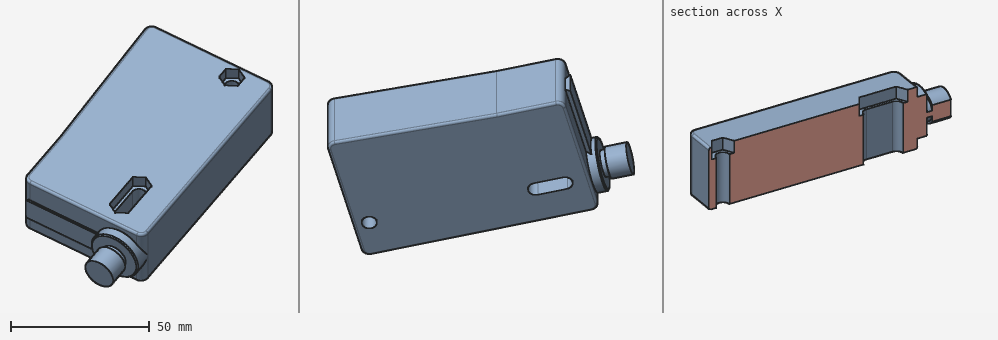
import cadquery as cq
import math

HOUSING_LENGTH = 88.0
HOUSING_HEIGHT = 25.8
FRONT_WIDTH = 51.8
BACK_WIDTH = 54.3
TAPER_START = 25.0
CORNER_RADIUS = 3.0
EDGE_RADIUS = 1.0

FLANGE_DIAMETER = 20.0
FLANGE_LENGTH = 4.0
FLANGE_CHAMFER = 0.5
NECK_DIAMETER = 10.0
NECK_LENGTH = 2.0
PLUG_DIAMETER = 12.0
PLUG_LENGTH = 8.0
CONNECTOR_X = -FLANGE_DIAMETER / 2

RAIL_END_X = -49.3
RAIL_THICKNESS = 1.9
RAIL_OUTER_HEIGHT = 9.3
RAIL_FLARE = 1.5
RAIL_ROOT_HEIGHT = RAIL_OUTER_HEIGHT - 2 * RAIL_FLARE

HOLE_X = -14.85
HOLE_DIAMETER = 5.5
NUT_ACROSS_FLATS = 8.0
NUT_POCKET_DEPTH = 5.0
HALF_HEX_ANGLE = math.radians(30)
ROUND_HOLE_Y = 82.0
SLOT_CENTER_Y = 14.5
SLOT_TRAVEL = 11.0


def make_housing():
    outline = [
        (0, 0),
        (0, HOUSING_LENGTH),
        (-BACK_WIDTH, HOUSING_LENGTH),
        (-FRONT_WIDTH, TAPER_START),
        (-FRONT_WIDTH, 0),
    ]
    block = cq.Workplane("XY").polyline(outline).close().extrude(HOUSING_HEIGHT / 2, both=True)
    bend = cq.selectors.NearestToPointSelector((-FRONT_WIDTH, TAPER_START, 0))
    uprights = cq.selectors.ParallelDirSelector(cq.Vector(0, 0, 1))
    corners = cq.selectors.SubtractSelector(uprights, bend)
    return block.edges(corners).fillet(CORNER_RADIUS).faces("|Z").edges().fillet(EDGE_RADIUS)


def make_cylinder(diameter, start_y, end_y):
    """Cylinder on the connector axis, from start_y forwards to end_y."""
    return (
        cq.Workplane("XZ", origin=(CONNECTOR_X, start_y, 0))
        .circle(diameter / 2)
        .extrude(start_y - end_y)
    )


def make_connector():
    neck_start = -FLANGE_LENGTH
    plug_start = neck_start - NECK_LENGTH
    flange = make_cylinder(FLANGE_DIAMETER, CORNER_RADIUS, neck_start)
    flange = flange.faces("<Y").chamfer(FLANGE_CHAMFER)
    neck = make_cylinder(NECK_DIAMETER, neck_start, plug_start)
    plug = make_cylinder(PLUG_DIAMETER, plug_start, plug_start - PLUG_LENGTH)
    return flange.union(neck).union(plug)


def make_rail():
    root = RAIL_ROOT_HEIGHT / 2
    outer = RAIL_OUTER_HEIGHT / 2
    profile = [
        (EDGE_RADIUS, -root),
        (0, -root),
        (-RAIL_THICKNESS, -outer),
        (-RAIL_THICKNESS, outer),
        (0, root),
        (EDGE_RADIUS, root),
    ]
    return (
        cq.Workplane("YZ", origin=(RAIL_END_X, 0, 0))
        .polyline(profile)
        .close()
        .extrude(CONNECTOR_X - RAIL_END_X)
    )


def make_mounting_hole(center_y, travel):
    """Through hole and hexagonal nut pocket, both stretched along Y by the travel."""
    hole = cq.Workplane("XY", origin=(HOLE_X, center_y, 0))
    if travel > 0:
        hole = hole.slot2D(travel + HOLE_DIAMETER, HOLE_DIAMETER, 90)
    else:
        hole = hole.circle(HOLE_DIAMETER / 2)
    hole = hole.extrude(HOUSING_HEIGHT, both=True)

    flat = NUT_ACROSS_FLATS / 2
    shoulder = travel / 2 + flat * math.tan(HALF_HEX_ANGLE)
    tip = travel / 2 + flat / math.cos(HALF_HEX_ANGLE)
    hexagon = [
        (flat, -shoulder),
        (flat, shoulder),
        (0, tip),
        (-flat, shoulder),
        (-flat, -shoulder),
        (0, -tip),
    ]
    pocket = (
        cq.Workplane("XY", origin=(HOLE_X, center_y, HOUSING_HEIGHT / 2))
        .polyline(hexagon)
        .close()
        .extrude(-NUT_POCKET_DEPTH)
    )
    return hole.union(pocket)


result = make_housing().union(make_connector()).union(make_rail())
result = result.cut(make_mounting_hole(ROUND_HOLE_Y, 0))
result = result.cut(make_mounting_hole(SLOT_CENTER_Y, SLOT_TRAVEL))